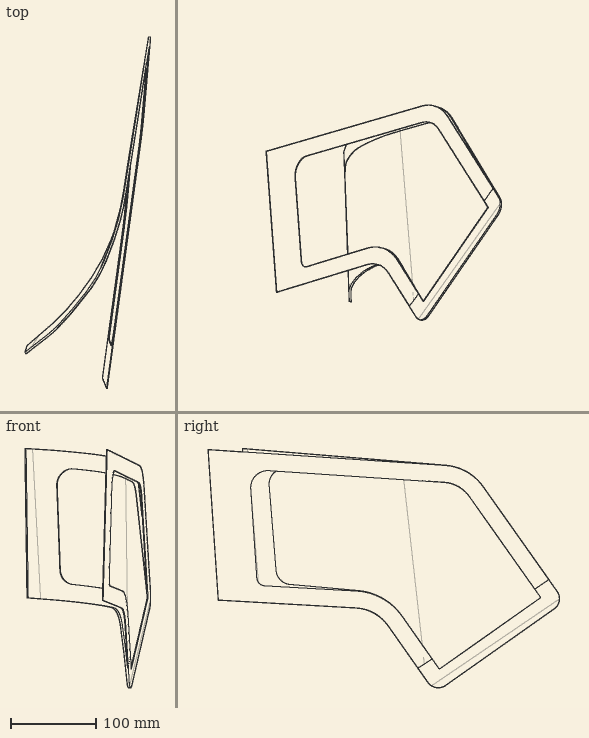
import cadquery as cq
import math


SKIN_OUTER_THICKNESS = 2.0
SKIN_TOTAL_THICKNESS = 2.5
FRAME_THICKNESS = 1.0
RIM_WIDTH = 20.0
FRAME_END_MARGIN = 47.0
RECESS_RADIUS = 18.0
WINDOW_TOP_RADIUS = 20.0
WINDOW_BOTTOM_RADIUS = 10.0
SECTION_TOP_Z = 282.0
SECTION_BOTTOM_Z = -1.0
PRISM_LENGTH = 400.0

REAR_TOP = (307.0, 259.3)
REAR_TIP = (418.6, 101.3)
LOWER_TIP = (266.8, -5.8)
RECESSED_CORNER = (197.8, 92.4)
REAR_TOP_RADIUS = 60.0
REAR_TIP_RADIUS = 14.7
LOWER_TIP_RADIUS = 15.0
RECESSED_RADIUS = 50.0

SKIN_TOP = (42.3, 281.1)
SKIN_BOTTOM = (50.2, 105.7)
SKIN_HEM_TOP = (48.3, 281.0)
SKIN_HEM_BOTTOM = (62.6, 104.5)
FRAME_TOP = (0.0, 280.0)
FRAME_BOTTOM = (12.0, 103.0)
TRIM_OVERRUN = 10.0

TOP_SECTION = [(0.0, 42.3), (7.5, 48.3), (32.3, 67.8), (59.7, 97.6), (82.1, 127.5), (102.0, 172.3),
               (116.0, 226.0)]
BOTTOM_SECTION = [(4.0, 55.0), (22.6, 71.3), (43.5, 91.0), (69.8, 122.0), (88.8, 152.0), (109.3, 200.0),
                  (119.8, 257.7)]
SKIN_REAR_SLOPE = 0.161
SKIN_REAR_Y = 425.0

FRAME_TOP_X = 96.9
FRAME_SLOPE_Y = 0.139
FRAME_SLOPE_Z = 0.037


def along(start, end, distance):
    """Point at a distance from start toward end."""
    length = math.dist(start, end)
    return tuple(s + (e - s) * distance / length for s, e in zip(start, end))


def point_at_y(start, end, y):
    """Point with the given y on the line through two (y, z) points."""
    share = (y - start[0]) / (end[0] - start[0])
    return (y, start[1] + share * (end[1] - start[1]))


def inset_corners(corners, insets):
    """Move each side of a clockwise polygon inward; side i runs from corner i to corner i + 1."""
    lines = []
    for i, start in enumerate(corners):
        end = corners[(i + 1) % len(corners)]
        length = math.dist(start, end)
        normal = ((end[1] - start[1]) / length, (start[0] - end[0]) / length)
        lines.append((normal, normal[0] * start[0] + normal[1] * start[1] + insets[i]))
    moved = []
    for i, (n2, d2) in enumerate(lines):
        n1, d1 = lines[i - 1]
        cross = n1[0] * n2[1] - n1[1] * n2[0]
        moved.append(((d1 * n2[1] - d2 * n1[1]) / cross, (n1[0] * d2 - n2[0] * d1) / cross))
    return moved


def rounded_prism(corners, radii):
    """Prism along X over a (y, z) polygon whose corners are rounded; radius 0 leaves a corner sharp."""
    outline = None
    for i, (corner, radius) in enumerate(zip(corners, radii)):
        before = corners[i - 1]
        after = corners[(i + 1) % len(corners)]
        entry = corner
        if radius:
            u = along((0, 0), (before[0] - corner[0], before[1] - corner[1]), 1)
            v = along((0, 0), (after[0] - corner[0], after[1] - corner[1]), 1)
            half_angle = math.acos(u[0] * v[0] + u[1] * v[1]) / 2
            tangent_length = radius / math.tan(half_angle)
            entry = along(corner, before, tangent_length)
            leave = along(corner, after, tangent_length)
            bisector = (corner[0] + u[0] + v[0], corner[1] + u[1] + v[1])
            middle = along(corner, bisector, radius / math.sin(half_angle) - radius)
        if outline is None:
            outline = cq.Workplane("YZ").moveTo(*entry)
        else:
            outline = outline.lineTo(*entry)
        if radius:
            outline = outline.threePointArc(middle, leave)
    return outline.close().extrude(PRISM_LENGTH / 2, both=True)


def side_corners(front_top, front_bottom):
    return [front_top, REAR_TOP, REAR_TIP, LOWER_TIP, RECESSED_CORNER, front_bottom]


OUTLINE_RADII = [0, REAR_TOP_RADIUS, REAR_TIP_RADIUS, LOWER_TIP_RADIUS, RECESSED_RADIUS, 0]


def opening_prism(front_top, front_bottom, front_margin, top_radius, bottom_radius):
    """Opening that follows the side outline at the rim width, with its own front margin."""
    corners = inset_corners(side_corners(front_top, front_bottom), [RIM_WIDTH] * 5 + [front_margin])
    rear_top_radius = REAR_TOP_RADIUS - RIM_WIDTH
    recessed_radius = RECESSED_RADIUS + RIM_WIDTH
    return rounded_prism(corners, [top_radius, rear_top_radius, 0, 0, recessed_radius, bottom_radius])


def section_points(outer_points, depth):
    """Section points moved from the outer face toward +X, -Y by a depth."""
    bend_end = outer_points[-1]
    rear_x = bend_end[0] + SKIN_REAR_SLOPE * (SKIN_REAR_Y - bend_end[1])
    points = outer_points + [(rear_x, SKIN_REAR_Y)]
    last = len(points) - 1
    moved = []
    for i, (x, y) in enumerate(points):
        if i <= 1:
            before, after = points[0], points[1]
        elif i >= last - 1:
            before, after = points[last - 1], points[last]
        else:
            before, after = points[i - 1], points[i + 1]
        dx, dy = along((0, 0), (after[0] - before[0], after[1] - before[1]), depth)
        moved.append((x + dy, y - dx))
    return moved


def section_edges(points, z):
    """Hem line, bend curve tangent to both its neighbours, and rear line."""
    p = [cq.Vector(x, y, z) for x, y in points]
    hem = cq.Edge.makeLine(p[0], p[1])
    bend = cq.Edge.makeSpline(p[1:-1], tangents=[(p[1] - p[0]).normalized(), (p[-1] - p[-2]).normalized()])
    rear = cq.Edge.makeLine(p[-2], p[-1])
    return p, [hem, bend, rear]


def section_wire(outer_points, z, near, far):
    a, near_edges = section_edges(section_points(outer_points, near), z)
    b, far_edges = section_edges(section_points(outer_points, far), z)
    ends = [cq.Edge.makeLine(a[0], b[0]), cq.Edge.makeLine(a[-1], b[-1])]
    return cq.Wire.assembleEdges(near_edges + [ends[1]] + far_edges[::-1] + [ends[0]])


def skin_layer(near, far):
    """Layer of the skin between two depths below its outer face."""
    bottom = section_wire(BOTTOM_SECTION, SECTION_BOTTOM_Z, near, far)
    top = section_wire(TOP_SECTION, SECTION_TOP_Z, near, far)
    return cq.Workplane(cq.Solid.makeLoft([bottom, top], True))


def make_skin():
    top = point_at_y(SKIN_TOP, REAR_TOP, SKIN_TOP[0] - TRIM_OVERRUN)
    bottom = point_at_y(SKIN_BOTTOM, RECESSED_CORNER, SKIN_BOTTOM[0] - TRIM_OVERRUN)
    outline = rounded_prism(side_corners(top, bottom), OUTLINE_RADII)
    recess = opening_prism(SKIN_HEM_TOP, SKIN_HEM_BOTTOM, RIM_WIDTH, RECESS_RADIUS, RECESS_RADIUS)
    outer = skin_layer(0, SKIN_OUTER_THICKNESS).intersect(outline)
    rim = skin_layer(SKIN_OUTER_THICKNESS, SKIN_TOTAL_THICKNESS).intersect(outline).cut(recess)
    return outer.union(rim)


def make_frame():
    outline = rounded_prism(side_corners(FRAME_TOP, FRAME_BOTTOM), OUTLINE_RADII)
    window = opening_prism(FRAME_TOP, FRAME_BOTTOM, FRAME_END_MARGIN,
                           WINDOW_TOP_RADIUS, WINDOW_BOTTOM_RADIUS)
    face = cq.Plane(origin=(FRAME_TOP_X,) + FRAME_TOP, xDir=(FRAME_SLOPE_Y, 1, 0),
                    normal=(-1, FRAME_SLOPE_Y, FRAME_SLOPE_Z))
    slab = cq.Workplane(face).rect(3 * PRISM_LENGTH, 3 * PRISM_LENGTH).extrude(FRAME_THICKNESS)
    return slab.intersect(outline).cut(window)


result = make_skin().union(make_frame())